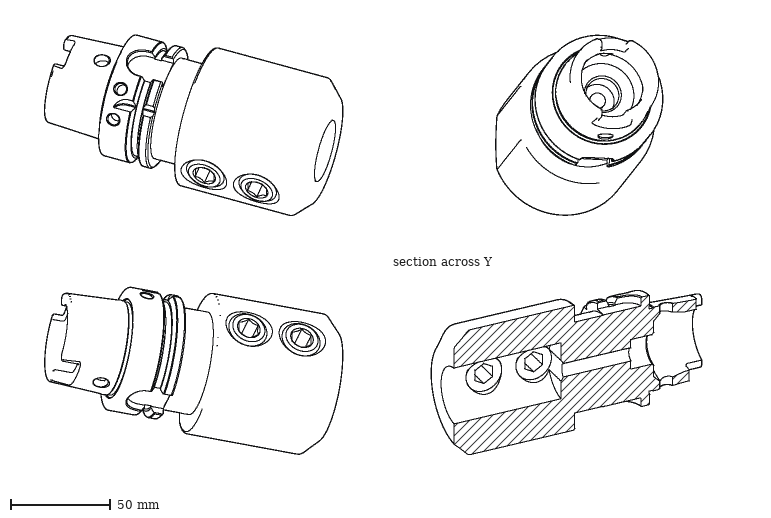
import cadquery as cq
import math

TOTAL_LENGTH = 142.0
FLANGE_START = 32.0
FLANGE_LENGTH = 26.3
FLANGE_END = FLANGE_START + FLANGE_LENGTH
HEAD_START = 74.1
HEAD_LENGTH = TOTAL_LENGTH - HEAD_START

SHANK_TIP_RADIUS = 22.7
TAPER_SLOPE = 0.05
TAPER_LENGTH = 30.1
TAPER_END_RADIUS = SHANK_TIP_RADIUS + TAPER_SLOPE * TAPER_LENGTH
TIP_FILLET = 1.0
CROSS_HOLE_X = 22.9
CROSS_HOLE_DIAMETER = 7.5
CROSS_HOLE_CHAMFER = 0.4

RELIEF_DEPTH = 0.4
RELIEF_SHANK_RADIUS = TAPER_END_RADIUS - RELIEF_DEPTH
RELIEF_FACE_RADIUS = 25.5

UPPER_SLOT_DEPTH = 5.8
LOWER_SLOT_DEPTH = 9.8
SLOT_HALF_WIDTH = 6.2
SLOT_FLOOR_FILLET = 1.4
SLOT_FLARE_RADIUS = 2.5
SLOT_FLARE_START = 18.3

SOCKET_DIAMETER = 34.0
SOCKET_STRAIGHT_DEPTH = 12.5
SOCKET_WIDE_DIAMETER = 40.0
SOCKET_WIDE_DEPTH = 25.7
SOCKET_FLOOR_DIAMETER = 32.0
SOCKET_DEPTH = SOCKET_WIDE_DEPTH + (SOCKET_WIDE_DIAMETER - SOCKET_FLOOR_DIAMETER) / 2

PILOT_MOUTH_DIAMETER = 19.0
PILOT_DIAMETER = 16.9
PILOT_END = 42.6
THROUGH_DIAMETER = 8.0

FLANGE_DIAMETER = 63.0
FLANGE_RADIUS = FLANGE_DIAMETER / 2
FLANGE_FILLET = 1.0
FLANGE_END_CHAMFER = 0.9
GROOVE_CENTER = FLANGE_START + 18.2
GROOVE_DIAMETER = 55.0
GROOVE_BOTTOM_WIDTH = 3.4
GROOVE_MOUTH_WIDTH = 6.8
GROOVE_WALL_ANGLE = 30.0
GROOVE_EDGE_BREAK = 0.3

KEYWAY_WIDTH = 16.0
KEYWAY_END_CENTER = 45.0
KEYWAY_FLOOR = 26.4
KEYWAY_CHAMFER = 0.5
NOTCH_OFFSET = 20.2
NOTCH_END_CENTER = 44.3
NOTCH_FLOOR_BEVEL = 0.4

FLANGE_HOLE_X = 38.8
FLANGE_HOLE_ANGLES = (28.3, 57.9)
FLANGE_HOLE_DIAMETER = 6.0
FLANGE_HOLE_CHAMFER = 0.5
FLANGE_HOLE_DEPTH = 6.7

HUB_DIAMETER = 52.5
HEAD_DIAMETER = 72.0
HEAD_RADIUS = HEAD_DIAMETER / 2
OVERALL_WIDTH = 69.2
HEAD_FLAT_Y = OVERALL_WIDTH - HEAD_RADIUS
HEAD_REAR_FILLET = 1.0
HEAD_FRONT_CHAMFER = 8.2
HEAD_FRONT_FILLET = 2.0
TOOL_BORE_DIAMETER = 32.0
TOOL_BORE_DEPTH = 60.0

SCREW_XS = (90.0, 118.0)
SCREW_DIAMETER = 20.0
SCREW_FACE_DIAMETER = 16.9
SCREW_OUTER_Y = -35.4
SCREW_INNER_Y = -TOOL_BORE_DIAMETER / 2
SCREW_LENGTH = SCREW_INNER_Y - SCREW_OUTER_Y
SCREW_HOLE_MOUTH_DIAMETER = 24.4
HEX_ACROSS_FLATS = 10.0
HEX_MOUTH_DIAMETER = 11.9

CLEARANCE = 7.1


def revolve_about_x(points):
    """Full turn about the X axis of an outline given as (x, radius) points."""
    return cq.Workplane("XY").polyline(points).close().revolve(360, (0, 0, 0), (1, 0, 0))


def cylinder_x(diameter, start, end):
    return cq.Workplane("YZ").workplane(offset=start).circle(diameter / 2).extrude(end - start)


def radial_hole_cutter(diameter, chamfer, surface_radius, floor_radius):
    """Hole along +Z from floor_radius outwards, with a 45 degree chamfer where it meets the surface."""
    radius = diameter / 2
    mouth_radius = radius + chamfer + CLEARANCE
    return (
        cq.Workplane("XZ")
        .moveTo(0, floor_radius)
        .lineTo(radius, floor_radius)
        .lineTo(radius, surface_radius - chamfer)
        .lineTo(mouth_radius, surface_radius + CLEARANCE)
        .lineTo(0, surface_radius + CLEARANCE)
        .close()
        .revolve(360, (0, 0, 0), (0, 1, 0))
    )


def drive_slot_cutter(depth):
    """Slot on the +Z side of the tip; its walls flare outwards in an arc near the shank surface."""
    inner_z = PILOT_DIAMETER / 2
    flare_z = SLOT_FLARE_START + SLOT_FLARE_RADIUS
    flare_y = SLOT_HALF_WIDTH + SLOT_FLARE_RADIUS
    arc_y = flare_y - SLOT_FLARE_RADIUS * math.cos(math.pi / 4)
    arc_z = SLOT_FLARE_START + SLOT_FLARE_RADIUS * math.sin(math.pi / 4)
    outer_y = flare_y + CLEARANCE
    outer_z = flare_z + CLEARANCE
    cutter = (
        cq.Workplane("YZ")
        .moveTo(-SLOT_HALF_WIDTH, inner_z)
        .lineTo(SLOT_HALF_WIDTH, inner_z)
        .lineTo(SLOT_HALF_WIDTH, SLOT_FLARE_START)
        .threePointArc((arc_y, arc_z), (flare_y, flare_z))
        .lineTo(outer_y, flare_z)
        .lineTo(outer_y, outer_z)
        .lineTo(-outer_y, outer_z)
        .lineTo(-outer_y, flare_z)
        .lineTo(-flare_y, flare_z)
        .threePointArc((-arc_y, arc_z), (-SLOT_HALF_WIDTH, SLOT_FLARE_START))
        .close()
        .extrude(depth)
    )
    margin = 0.1
    floor_corners = cq.selectors.BoxSelector(
        (depth - margin, -flare_y, inner_z + margin),
        (depth + margin, flare_y, flare_z - margin),
    )
    return cutter.edges(floor_corners).fillet(SLOT_FLOOR_FILLET)


def make_shank():
    """Hollow taper shank with its driving slots and the hole across it."""
    relief_end = FLANGE_START + RELIEF_DEPTH
    shank = revolve_about_x([
        (0, 0),
        (0, SHANK_TIP_RADIUS),
        (TAPER_LENGTH, TAPER_END_RADIUS),
        (TAPER_LENGTH + RELIEF_DEPTH, RELIEF_SHANK_RADIUS),
        (relief_end, RELIEF_SHANK_RADIUS),
        (relief_end, 0),
    ])
    socket = revolve_about_x([
        (0, 0),
        (0, SOCKET_DIAMETER / 2),
        (SOCKET_STRAIGHT_DEPTH, SOCKET_DIAMETER / 2),
        (SOCKET_WIDE_DEPTH, SOCKET_WIDE_DIAMETER / 2),
        (SOCKET_DEPTH, SOCKET_FLOOR_DIAMETER / 2),
        (SOCKET_DEPTH, 0),
    ])
    lower_slot = drive_slot_cutter(LOWER_SLOT_DEPTH).rotate((0, 0, 0), (1, 0, 0), 180)
    shank = shank.cut(socket).cut(drive_slot_cutter(UPPER_SLOT_DEPTH)).cut(lower_slot)
    shank = shank.faces("<X").edges().fillet(TIP_FILLET)

    surface_radius = SHANK_TIP_RADIUS + TAPER_SLOPE * CROSS_HOLE_X
    cross_hole = radial_hole_cutter(CROSS_HOLE_DIAMETER, CROSS_HOLE_CHAMFER, surface_radius, 0)
    for turn in (0, 180):
        shank = shank.cut(cross_hole.translate((CROSS_HOLE_X, 0, 0)).rotate((0, 0, 0), (1, 0, 0), turn))
    return shank


def keyway_cutter(end_center_x, center_y, floor_z):
    """Round-ended slot, open towards +X and +Z."""
    length = FLANGE_END + CLEARANCE - end_center_x
    round_end = cq.Workplane("XY").circle(KEYWAY_WIDTH / 2).extrude(FLANGE_DIAMETER)
    straight = cq.Workplane("XY").box(length, KEYWAY_WIDTH, FLANGE_DIAMETER, centered=(False, True, False))
    return straight.union(round_end).translate((end_center_x, center_y, floor_z))


def gripper_groove():
    """V-shaped ring with a square bottom and broken outer edges."""
    mouth = GROOVE_MOUTH_WIDTH / 2
    bottom = GROOVE_BOTTOM_WIDTH / 2
    wall_slope = math.tan(math.radians(GROOVE_WALL_ANGLE))
    wall_bottom = FLANGE_RADIUS - (mouth - bottom) / wall_slope
    floor = GROOVE_DIAMETER / 2
    break_radius = FLANGE_RADIUS - GROOVE_EDGE_BREAK
    break_mouth = mouth - GROOVE_EDGE_BREAK * wall_slope
    half_outline = [
        (mouth + GROOVE_EDGE_BREAK, FLANGE_RADIUS),
        (break_mouth, break_radius),
        (bottom, wall_bottom),
        (bottom, floor),
    ]
    left = [(GROOVE_CENTER - offset, radius) for offset, radius in half_outline]
    right = [(GROOVE_CENTER + offset, radius) for offset, radius in reversed(half_outline)]
    return revolve_about_x(left + right)


def flange_end_bevel():
    return revolve_about_x([
        (FLANGE_END - FLANGE_END_CHAMFER, FLANGE_RADIUS),
        (FLANGE_END, FLANGE_RADIUS),
        (FLANGE_END, FLANGE_RADIUS - FLANGE_END_CHAMFER),
    ])


def make_flange():
    """Flange ring with two opposite keyways, one corner notch and the gripper groove."""
    flange = cylinder_x(FLANGE_DIAMETER, FLANGE_START, FLANGE_END)
    flange = flange.faces("<X").edges().fillet(FLANGE_FILLET)

    keyway = keyway_cutter(KEYWAY_END_CENTER, 0, KEYWAY_FLOOR)
    wall_middle = (KEYWAY_FLOOR + FLANGE_RADIUS) / 2
    keyway_rim = cq.selectors.BoxSelector(
        (FLANGE_START, -KEYWAY_WIDTH, wall_middle),
        (FLANGE_END - FLANGE_END_CHAMFER, KEYWAY_WIDTH, FLANGE_DIAMETER),
    )
    for _ in range(2):
        flange = flange.rotate((0, 0, 0), (1, 0, 0), 180)
        flange = flange.cut(keyway).edges(keyway_rim).chamfer(KEYWAY_CHAMFER)

    notch = keyway_cutter(NOTCH_END_CENTER, -NOTCH_OFFSET - KEYWAY_WIDTH / 2, NOTCH_OFFSET)
    notch = notch.faces("<Z").edges().chamfer(NOTCH_FLOOR_BEVEL)
    return flange.cut(notch).cut(gripper_groove()).cut(flange_end_bevel())


def face_relief():
    """Shallow ring cut into the flange face around the shank."""
    relief_end = FLANGE_START + RELIEF_DEPTH
    return revolve_about_x([
        (FLANGE_START, RELIEF_SHANK_RADIUS),
        (relief_end, RELIEF_SHANK_RADIUS),
        (relief_end, RELIEF_FACE_RADIUS - RELIEF_DEPTH),
        (FLANGE_START, RELIEF_FACE_RADIUS),
    ])


def flange_hole_cutter(angle):
    floor_radius = FLANGE_RADIUS - FLANGE_HOLE_DEPTH
    hole = radial_hole_cutter(FLANGE_HOLE_DIAMETER, FLANGE_HOLE_CHAMFER, FLANGE_RADIUS, floor_radius)
    return hole.translate((FLANGE_HOLE_X, 0, 0)).rotate((0, 0, 0), (1, 0, 0), 90 - angle)


def make_head():
    """Clamping head: conical front with rounded edges, and one flat on the +Y side."""
    head = cylinder_x(HEAD_DIAMETER, HEAD_START, TOTAL_LENGTH)
    head = head.faces(">X").chamfer(HEAD_FRONT_CHAMFER)
    front_edges = cq.selectors.BoxSelector(
        (HEAD_START + HEAD_LENGTH / 2, -HEAD_DIAMETER, -HEAD_DIAMETER),
        (TOTAL_LENGTH + CLEARANCE, HEAD_DIAMETER, HEAD_DIAMETER),
    )
    head = head.edges("%CIRCLE").edges(front_edges).fillet(HEAD_FRONT_FILLET)
    beyond_flat = (
        cq.Workplane("XY")
        .box(HEAD_LENGTH, HEAD_DIAMETER, HEAD_DIAMETER, centered=(False, False, True))
        .translate((HEAD_START, HEAD_FLAT_Y, 0))
    )
    return head.cut(beyond_flat).faces("<X").edges().fillet(HEAD_REAR_FILLET)


def axial_bore():
    """Stepped bore from the socket floor through to the front face."""
    pilot_bevel = (PILOT_MOUTH_DIAMETER - PILOT_DIAMETER) / 2
    tool_bore_start = TOTAL_LENGTH - TOOL_BORE_DEPTH
    return revolve_about_x([
        (SOCKET_DEPTH, 0),
        (SOCKET_DEPTH, PILOT_MOUTH_DIAMETER / 2),
        (SOCKET_DEPTH + pilot_bevel, PILOT_DIAMETER / 2),
        (PILOT_END, PILOT_DIAMETER / 2),
        (PILOT_END, THROUGH_DIAMETER / 2),
        (tool_bore_start, THROUGH_DIAMETER / 2),
        (tool_bore_start, TOOL_BORE_DIAMETER / 2),
        (TOTAL_LENGTH, TOOL_BORE_DIAMETER / 2),
        (TOTAL_LENGTH, 0),
    ])


def screw_hole_cutter(x):
    chamfer = (SCREW_HOLE_MOUTH_DIAMETER - SCREW_DIAMETER) / 2
    hole = radial_hole_cutter(SCREW_DIAMETER, chamfer, HEAD_RADIUS, 0)
    return hole.rotate((0, 0, 0), (1, 0, 0), 90).translate((x, 0, 0))


def make_holder():
    hub = cylinder_x(HUB_DIAMETER, FLANGE_END, HEAD_START)
    body = make_shank().union(make_flange()).union(hub).union(make_head())
    body = body.cut(face_relief()).cut(axial_bore())
    for angle in FLANGE_HOLE_ANGLES:
        body = body.cut(flange_hole_cutter(angle))
    for x in SCREW_XS:
        body = body.cut(screw_hole_cutter(x))
    return body


def make_screw(x):
    """Headless screw with a chamfered outer face and a hexagon socket right through it."""
    blank = cq.Workplane("XZ").circle(SCREW_DIAMETER / 2).extrude(SCREW_LENGTH)
    blank = blank.faces("<Y").chamfer((SCREW_DIAMETER - SCREW_FACE_DIAMETER) / 2)
    across_corners = HEX_ACROSS_FLATS / math.cos(math.pi / 6)
    hexagon = cq.Workplane("XZ").polygon(6, across_corners).extrude(SCREW_LENGTH)
    corners_up = hexagon.rotate((0, 0, 0), (0, 1, 0), 90)
    mouth_radius = HEX_MOUTH_DIAMETER / 2
    mouth = (
        cq.Workplane("XY")
        .polyline([(0, -SCREW_LENGTH), (mouth_radius, -SCREW_LENGTH), (0, mouth_radius - SCREW_LENGTH)])
        .close()
        .revolve(360, (0, 0, 0), (0, 1, 0))
    )
    return blank.cut(corners_up).cut(mouth).translate((x, SCREW_INNER_Y, 0))


holder = make_holder()
screws = [make_screw(x) for x in SCREW_XS]
result = cq.Compound.makeCompound([holder.val(), *[screw.val() for screw in screws]])